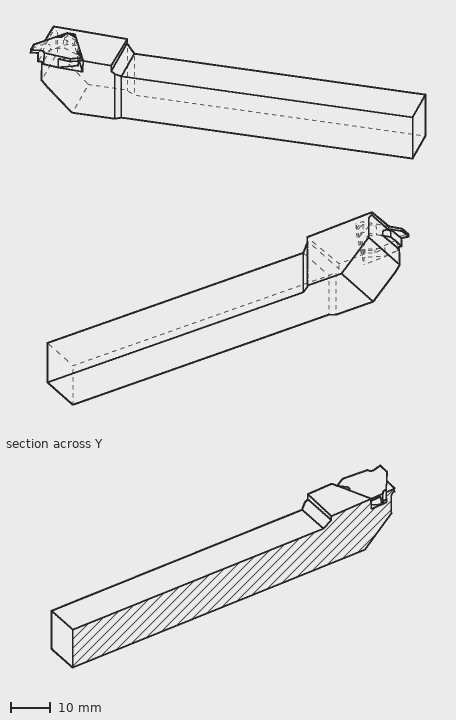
import cadquery as cq
import math

shank_size = 12.0
tool_length = 100.0
shank_start = 23.8

cut_size = 60.0

head_front = -1.0
head_width = 15.0
head_back = head_front + head_width
head_end = 21.4
nose_x = 3.05
nose_chamfer = 8.1
brow_x = 2.1
brow_edge_z = 14.5
brow_radius = nose_x - brow_x
taper_angle = 35.0

facet_top = (7.6, head_front, 12.4)
facet_bottom = (4.8, head_front, 6.5)
facet_nose_depth = 0.5

top_height = 15.99
drop_angle = 2.0
insert_thickness = 3.2
lip_thickness = 0.8
lip_reach = 1.87
corner_count = 3
tip_x = 0.035
insert_center = (6.6, 4.1)

edge_x = tip_x - insert_center[0]
edge_far = (edge_x, -1.04)
edge_near = (edge_x, -4.1)
notch = (-4.5, -3.6)
round_mid = (-3.25, -3.85)
round_fraction = 0.34

pocket_mouth_y = -4.0


def turned(point, step):
    """Insert plan point, turned about the insert centre to another corner."""
    angle = 2 * math.pi * step / corner_count
    return (
        insert_center[0] + point[0] * math.cos(angle) - point[1] * math.sin(angle),
        insert_center[1] + point[0] * math.sin(angle) + point[1] * math.cos(angle),
    )


def round_end(step):
    """End of a corner's hollow round, on the line of the insert side that follows it."""
    start = turned(edge_near, step)
    end = turned(edge_far, step + 1)
    return tuple(a + round_fraction * (b - a) for a, b in zip(start, end))


def tilted_plane():
    """Plane of the head and insert tops, at top_height where x = y = 0."""
    slope = math.tan(math.radians(drop_angle))
    return cq.Plane(origin=(0, 0, top_height), xDir=(1, 0, -slope), normal=(slope, slope, 1))


def make_insert():
    """Three-cornered grooving insert with a thin overhanging lip at each corner."""
    outline = cq.Workplane(tilted_plane()).moveTo(*turned(edge_far, 0))
    for step in range(corner_count):
        outline = outline.lineTo(*turned(edge_near, step)).lineTo(*turned(notch, step))
        outline = outline.threePointArc(turned(round_mid, step), round_end(step))
        if step < corner_count - 1:
            outline = outline.lineTo(*turned(edge_far, step + 1))
    body = outline.close().extrude(-insert_thickness)

    undercut_plane = cq.Workplane(tilted_plane()).workplane(offset=-lip_thickness)
    outer_x = edge_x - lip_reach
    inner_x = edge_x + lip_reach
    half_width = insert_center[0]
    undercut = [(outer_x, -half_width), (inner_x, -half_width), (inner_x, half_width), (outer_x, half_width)]
    for step in range(corner_count):
        corners = [turned(point, step) for point in undercut]
        body = body.cut(undercut_plane.polyline(corners).close().extrude(-insert_thickness))
    return body


def make_pocket():
    """Space for the insert: two walls along its inner sides, open to the front and the nose."""
    wall_start = turned(edge_far, 0)
    apex = turned(edge_near, 2)
    wall_upper = turned(edge_far, 2)
    wall_lower = turned(edge_near, 1)
    x_per_y = (wall_lower[0] - wall_upper[0]) / (wall_lower[1] - wall_upper[1])
    apex_right = (wall_upper[0] + x_per_y * (apex[1] - wall_upper[1]), apex[1])
    mouth_right = (wall_lower[0] + x_per_y * (pocket_mouth_y - wall_lower[1]), pocket_mouth_y)
    mouth_left = (wall_start[0], pocket_mouth_y)
    outline = [wall_start, apex, apex_right, mouth_right, mouth_left]
    return cq.Workplane(tilted_plane()).polyline(outline).close().extrude(-insert_thickness)


def make_head_block():
    """Head with a tilted top, a chamfered nose and a brow that overhangs the nose."""
    round_step = brow_radius * math.sqrt(0.5)
    block = (
        cq.Workplane("XZ", origin=(0, head_back, 0))
        .moveTo(nose_x + nose_chamfer, 0)
        .lineTo(head_end, 0)
        .lineTo(head_end, top_height)
        .lineTo(brow_x, top_height)
        .lineTo(brow_x, brow_edge_z)
        .threePointArc(
            (brow_x + round_step, brow_edge_z - brow_radius + round_step),
            (nose_x, brow_edge_z - brow_radius),
        )
        .lineTo(nose_x, nose_chamfer)
        .close()
        .extrude(head_width)
    )
    above_top = cq.Workplane(tilted_plane()).rect(cut_size, cut_size).extrude(cut_size)
    return block.cut(above_top)


def make_taper():
    """Transition from the head to the shank, sloping on the top and on both sides."""
    rise = (shank_start - head_end) * math.tan(math.radians(taper_angle))
    front_run = -head_front / math.tan(math.radians(taper_angle))
    side_profile = [
        (head_end, 0),
        (shank_start, 0),
        (shank_start, shank_size),
        (head_end, shank_size + rise),
    ]
    plan = [
        (head_end, head_front),
        (shank_start - front_run, head_front),
        (shank_start, 0),
        (shank_start, shank_size),
        (head_end, shank_size + rise),
    ]
    side = (
        cq.Workplane("XZ", origin=(0, head_back, 0))
        .polyline(side_profile)
        .close()
        .extrude(head_width)
    )
    return side.intersect(cq.Workplane("XY").polyline(plan).close().extrude(top_height))


def make_facet_cut():
    """Block whose inner face is the relief facet on the front of the nose."""
    edge = cq.Vector(*facet_bottom) - cq.Vector(*facet_top)
    nose_point = cq.Vector(nose_x, head_front + facet_nose_depth, facet_top[2])
    outward = edge.cross(nose_point - cq.Vector(*facet_top))
    if outward.y > 0:
        outward = -outward
    plane = cq.Plane(origin=facet_top, xDir=edge, normal=outward)
    return cq.Workplane(plane).rect(cut_size, cut_size).extrude(cut_size)


def make_holder():
    """Shank, taper and head in one piece, with the facet and the insert pocket cut in."""
    shank_length = tool_length - shank_start
    shank = cq.Workplane("XY", origin=(shank_start, 0, 0)).box(
        shank_length, shank_size, shank_size, centered=False
    )
    blank = shank.union(make_taper()).union(make_head_block())
    return blank.cut(make_facet_cut()).cut(make_pocket())


holder = make_holder()
insert = make_insert()

result = cq.Compound.makeCompound([holder.solids().val(), insert.solids().val()])